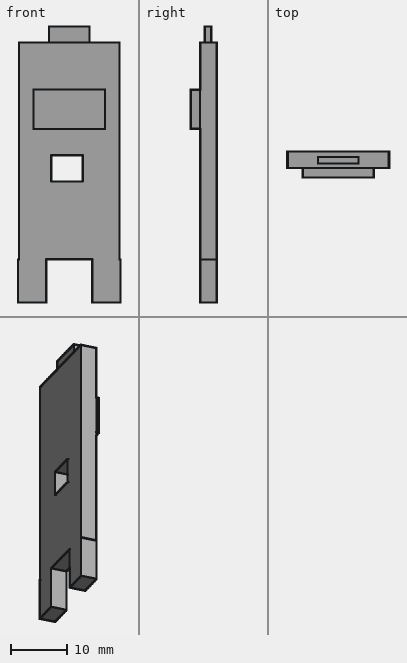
import cadquery as cq

total_height = 49.1
leg_span = 18.2
plate_width = 17.9
plate_thickness = 3.0
shoulder_height = 46.25

leg_height = 7.7
leg_gap = 8.1

tab_width = 7.25
tab_thickness = 1.2
tab_front = 0.85

pad_width = 12.6
pad_height = 6.95
pad_depth = 1.65
pad_bottom = 30.9

window_width = 5.55
window_height = 4.6
window_bottom = 21.55
window_center_x = -0.4


def block(width, depth, height, front, bottom, center_x=0):
    """Box given by its X center, front Y face and bottom Z face."""
    corner = (center_x - width / 2, front, bottom)
    return cq.Workplane("XY").box(width, depth, height, centered=False).translate(corner)


plate = block(plate_width, plate_thickness, shoulder_height - leg_height, 0, leg_height)
leg_section = block(leg_span, plate_thickness, leg_height, 0, 0)
tab = block(tab_width, tab_thickness, total_height - shoulder_height, tab_front, shoulder_height)
pad = block(pad_width, pad_depth, pad_height, -pad_depth, pad_bottom)

gap = block(leg_gap, plate_thickness, leg_height, 0, 0)
window = block(window_width, plate_thickness, window_height, 0, window_bottom, window_center_x)

result = plate.union(leg_section).union(tab).union(pad).cut(gap).cut(window)